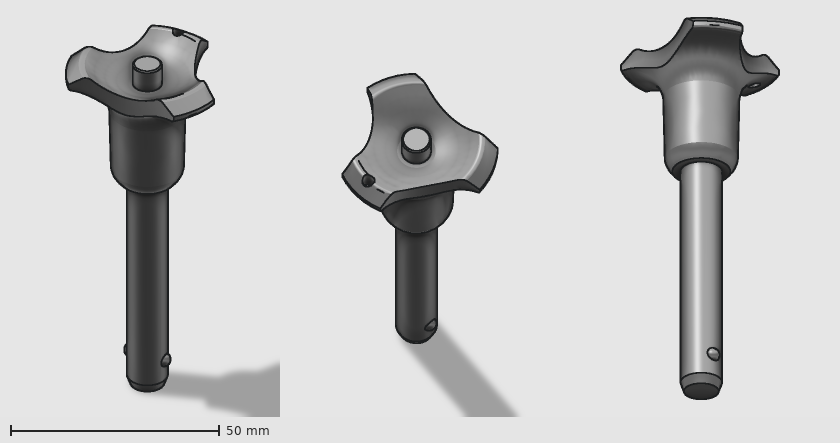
import cadquery as cq
import math

total_height = 92.9

shank_radius = 5.0
tip_radius = 4.2
tip_chamfer_height = 2.4
ball_radius = 1.8
ball_reach = 6.1
ball_height = 8.0

barrel_bottom = 59.6
barrel_bottom_radius = 7.0
shoulder_start_height = 60.2
shoulder_start_radius = 7.4
shoulder_end_height = 63.0
barrel_lower_radius = 8.8
barrel_upper_radius = 9.2
barrel_top = 79.5
shoulder_bulge = 0.2

flare_middle = (11.3, 84.8)
flare_top_radius = 18.4
flare_top = 88.5
rim_radius = 19.6
rim_edge_height = 90.2
rim_round = 0.65
crest_outer_radius = 16.5
crest_inner_radius = 15.05

dish_radius = 21.8
dish_bottom = 86.7
button_seat_radius = 4.6
button_radius = 3.5
button_chamfer = 0.4

rear_arm_half_width = 6.6
side_corner_y = -2.3
front_corner_y = -13.4
front_notch_y = -11.3
side_notch_radius = 21.1

tether_hole_radius = 1.5
tether_hole_y = 16.0


def dish_height(radius):
    """Height of the spherical dish at a distance from the axis."""
    return dish_bottom + dish_radius - math.sqrt(dish_radius**2 - radius**2)


def make_shank():
    shank = cq.Workplane("XY").circle(shank_radius).extrude(dish_bottom)
    tip_inset = shank_radius - tip_radius
    shank = shank.faces("<Z").chamfer(tip_chamfer_height, tip_inset)
    for side in (-1, 1):
        ball_x = side * (ball_reach - ball_radius)
        ball = cq.Workplane("XY").sphere(ball_radius).translate((ball_x, 0, ball_height))
        shank = shank.union(ball)
    return shank


def make_handle():
    """Revolve the barrel, flare, rim and dish as one profile."""
    shoulder_middle = (
        (shoulder_start_radius + barrel_lower_radius) / 2 + shoulder_bulge,
        (shoulder_start_height + shoulder_end_height) / 2 - shoulder_bulge,
    )
    half_diagonal = math.sqrt(0.5)
    rim_round_middle = (
        rim_radius - rim_round * (1 - half_diagonal),
        flare_top + rim_round * (1 - half_diagonal),
    )
    crest_edge_height = dish_height(crest_inner_radius)
    crest_middle = ((crest_outer_radius + crest_inner_radius) / 2, total_height)
    dish_edge = (crest_inner_radius, crest_edge_height)
    seat_height = dish_height(button_seat_radius)
    dish_middle_radius = (crest_inner_radius + button_seat_radius) / 2

    profile = (
        cq.Workplane("XZ")
        .moveTo(0, barrel_bottom)
        .lineTo(barrel_bottom_radius, barrel_bottom)
        .lineTo(shoulder_start_radius, shoulder_start_height)
        .threePointArc(shoulder_middle, (barrel_lower_radius, shoulder_end_height))
        .lineTo(barrel_upper_radius, barrel_top)
        .threePointArc(flare_middle, (flare_top_radius, flare_top))
        .lineTo(rim_radius - rim_round, flare_top)
        .threePointArc(rim_round_middle, (rim_radius, flare_top + rim_round))
        .lineTo(rim_radius, rim_edge_height)
        .lineTo(crest_outer_radius, crest_edge_height)
        .threePointArc(crest_middle, dish_edge)
        .threePointArc(
            (dish_middle_radius, dish_height(dish_middle_radius)),
            (button_seat_radius, seat_height),
        )
        .lineTo(0, seat_height)
        .close()
    )
    return profile.revolve(360, (0, 0, 0), (0, 1, 0))


def make_button():
    button = cq.Workplane("XY", origin=(0, 0, dish_bottom))
    button = button.circle(button_radius).extrude(total_height - dish_bottom)
    return button.faces(">Z").chamfer(button_chamfer)


def make_notch_cutter(center, radius):
    """Vertical cylinder that scoops one finger notch from the flare."""
    cutter = cq.Workplane("XY", origin=(0, 0, barrel_top))
    return cutter.center(*center).circle(radius).extrude(total_height)


def side_notch_center(side):
    """Centre of the notch arc joining the rear arm to one side arm at the rim."""
    rear_corner_x = rear_arm_half_width
    rear_corner_y = math.sqrt(rim_radius**2 - rear_corner_x**2)
    side_corner_x = math.sqrt(rim_radius**2 - side_corner_y**2)
    chord_x = side_corner_x - rear_corner_x
    chord_y = rear_corner_y - side_corner_y
    chord = math.hypot(chord_x, chord_y)
    offset = math.sqrt(side_notch_radius**2 - (chord / 2)**2)
    center_x = (rear_corner_x + side_corner_x) / 2 + offset * chord_y / chord
    center_y = (rear_corner_y + side_corner_y) / 2 + offset * chord_x / chord
    return side * center_x, center_y


def cut_finger_notches(handle):
    for side in (-1, 1):
        handle = handle.cut(make_notch_cutter(side_notch_center(side), side_notch_radius))

    depth = front_notch_y - front_corner_y
    half_chord_squared = rim_radius**2 - front_corner_y**2
    front_radius = (half_chord_squared + depth**2) / (2 * depth)
    return handle.cut(make_notch_cutter((0, front_notch_y - front_radius), front_radius))


def cut_tether_hole(handle):
    hole = cq.Workplane("XY", origin=(0, tether_hole_y, barrel_top))
    hole = hole.circle(tether_hole_radius).extrude(total_height - barrel_top)
    return handle.cut(hole)


handle = cut_tether_hole(cut_finger_notches(make_handle()))
result = handle.union(make_shank()).union(make_button())